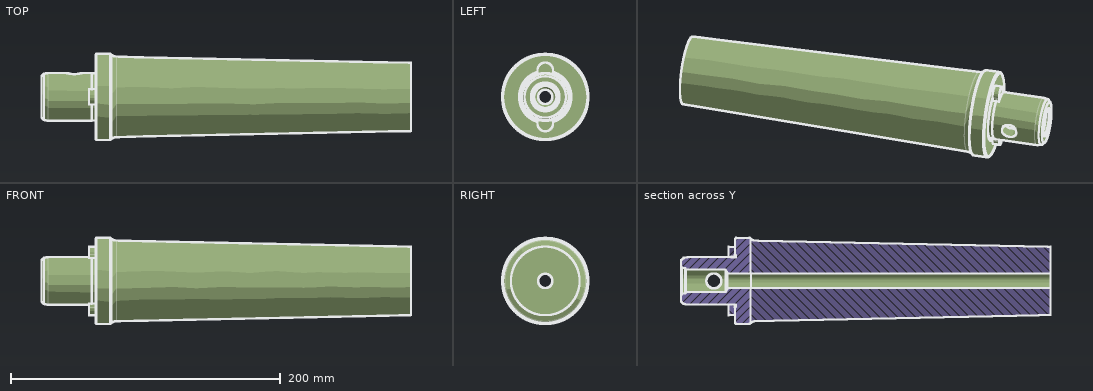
import cadquery as cq
import math

overall_length = 274.0
flange_start = 40.0
flange_end = 51.8
neck_length = 3.8

shank_radius = 17.8
shank_chamfer = 2.0
lead_length = 3.0
lead_depth = 0.5

relief_width = 2.7
relief_depth = 0.3
relief_face_depth = 0.5
relief_radius = 19.5

flange_radius = 32.0
flange_chamfer = 0.8

neck_diameter = 60.0
handle_end_diameter = 51.0

bore_radius = 5.2
mouth_radius = 10.7
recess_radius = 9.3
recess_end = 3.0
socket_radius = 8.2
socket_depth = 33.0
bore_cone_half_angle = 60.0

cross_hole_position = 24.5
cross_hole_radius = 5.5

key_radius = 5.8
key_center_height = 19.7
key_length = 5.0


def revolve_about_x(profile):
    """Close a half profile and turn it about the X axis."""
    return profile.close().revolve(360, (0, 0, 0), (1, 0, 0))


def cone_length(large_radius, small_radius):
    """Axial length of a bore cone between two radii."""
    return (large_radius - small_radius) / math.tan(math.radians(bore_cone_half_angle))


def make_cross_hole():
    """Cutter for the radial hole from the +Y side of the shank into the bore."""
    return (
        cq.Workplane("XZ", origin=(cross_hole_position, 0, 0))
        .circle(cross_hole_radius)
        .extrude(-shank_radius)
    )


def make_core():
    """Shank and flange with a relief groove, a stepped bore and a cross hole."""
    lead_start_radius = shank_radius - lead_depth
    relief_bottom = shank_radius - relief_depth
    flange_edge = flange_radius - flange_chamfer
    profile = (
        cq.Workplane("XZ")
        .moveTo(0, mouth_radius)
        .lineTo(0, lead_start_radius - shank_chamfer)
        .lineTo(shank_chamfer, lead_start_radius)
        .lineTo(shank_chamfer + lead_length, shank_radius)
        .lineTo(flange_start - relief_width, shank_radius)
        .lineTo(flange_start - relief_width + relief_depth, relief_bottom)
        .lineTo(flange_start + relief_face_depth, relief_bottom)
        .lineTo(flange_start + relief_face_depth, relief_radius - relief_face_depth)
        .lineTo(flange_start, relief_radius)
        .lineTo(flange_start, flange_edge)
        .lineTo(flange_start + flange_chamfer, flange_radius)
        .lineTo(flange_end - flange_chamfer, flange_radius)
        .lineTo(flange_end, flange_edge)
        .lineTo(flange_end, bore_radius)
        .lineTo(socket_depth + cone_length(socket_radius, bore_radius), bore_radius)
        .lineTo(socket_depth, socket_radius)
        .lineTo(recess_end + cone_length(recess_radius, socket_radius), socket_radius)
        .lineTo(recess_end, recess_radius)
        .lineTo(cone_length(mouth_radius, recess_radius), recess_radius)
    )
    return revolve_about_x(profile).cut(make_cross_hole())


def make_handle():
    """Tapered handle with a flared neck behind the flange."""
    neck_end = flange_end + neck_length
    profile = (
        cq.Workplane("XZ")
        .moveTo(flange_end, bore_radius)
        .lineTo(overall_length, bore_radius)
        .lineTo(overall_length, handle_end_diameter / 2)
        .lineTo(neck_end, neck_diameter / 2)
        .tangentArcPoint((flange_end, flange_radius - flange_chamfer), relative=False)
    )
    return revolve_about_x(profile)


def make_key(side):
    """Round-topped key resting on the shank; side is +1 for above, -1 for below."""
    block = (
        cq.Workplane("YZ", origin=(flange_start - key_length, 0, 0))
        .moveTo(-key_radius, 0)
        .lineTo(-key_radius, side * key_center_height)
        .threePointArc((0, side * (key_center_height + key_radius)), (key_radius, side * key_center_height))
        .lineTo(key_radius, 0)
        .close()
        .extrude(key_length)
    )
    shank = cq.Workplane("YZ").circle(shank_radius).extrude(flange_start)
    return block.cut(shank)


core = make_core()
handle = make_handle()
keys = [make_key(side) for side in (1, -1)]

result = cq.Compound.makeCompound([core.val(), handle.val(), *[key.val() for key in keys]])